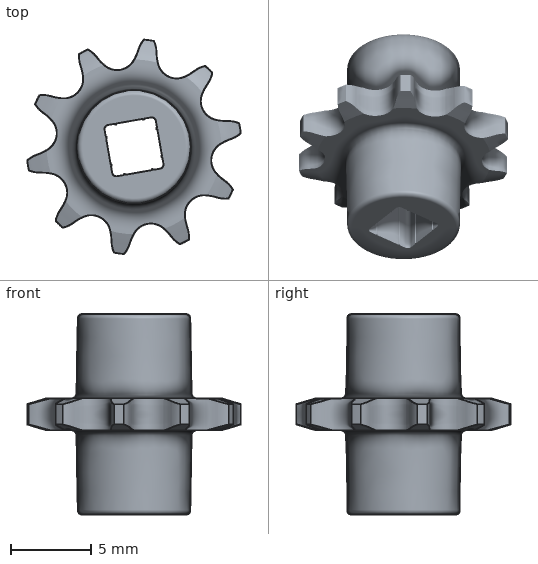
import cadquery as cq
import math

TOOTH_COUNT = 10
CHAIN_PITCH = 3.75
ROLLER_DIAMETER = 2.13
FLANK_CLEARANCE = 0.12
FIRST_TOOTH_ANGLE = 10.0

SEAT_RADIUS_RATIO = 0.5025
WORKING_CENTER_RATIO = 0.8
TOPPING_CENTER_RATIO = 1.4

SEAT_ANGLE = 35 + 60 / TOOTH_COUNT
WORKING_ANGLE = 18 - 56 / TOOTH_COUNT
TOPPING_ANGLE = 17 - 64 / TOOTH_COUNT

PLATE_THICKNESS = 2.0
TIP_RADIUS = 6.714
TIP_CHAMFER_START_RADIUS = 5.44
TIP_CHAMFER_DROP = 0.37

TOTAL_HEIGHT = 12.5
HUB_BASE_RADIUS = 3.6
HUB_DRAFT_ANGLE = 1.0
HUB_FILLET = 0.3

BORE_WALLS = 4
BORE_SIDE = 3.225
BORE_CORNER_RADIUS = 0.25

RIB_RADIUS = 0.055
RIB_OFFSET = 0.88

TOOTH_STEP = 360.0 / TOOTH_COUNT
PITCH_RADIUS = CHAIN_PITCH / (2 * math.sin(math.pi / TOOTH_COUNT))
HALF_PLATE = PLATE_THICKNESS / 2
HALF_HEIGHT = TOTAL_HEIGHT / 2
HUB_HEIGHT = HALF_HEIGHT - HALF_PLATE
HUB_END_RADIUS = HUB_BASE_RADIUS - HUB_HEIGHT * math.tan(math.radians(HUB_DRAFT_ANGLE))


def point_on_arc(center, radius, angle):
    """Point at the given angle (radians) on a circle."""
    return (center[0] + radius * math.cos(angle), center[1] + radius * math.sin(angle))


def gap_outline():
    """Closed outline of one tooth gap, symmetric about +X.

    Each flank runs from the roller seat through a working arc, a short
    straight and a topping arc, all tangent to each other.
    """
    half_step = math.pi / TOOTH_COUNT
    seat_angle = math.radians(SEAT_ANGLE)
    working_angle = math.radians(WORKING_ANGLE)
    topping_angle = math.radians(TOPPING_ANGLE)
    working_offset = WORKING_CENTER_RATIO * ROLLER_DIAMETER
    topping_offset = TOPPING_CENTER_RATIO * ROLLER_DIAMETER

    seat_radius = SEAT_RADIUS_RATIO * ROLLER_DIAMETER + FLANK_CLEARANCE
    working_radius = seat_radius + working_offset
    topping_radius = (
        working_offset * math.cos(working_angle)
        + topping_offset * math.cos(topping_angle)
        - working_radius
    )

    seat_center = (PITCH_RADIUS, 0)
    working_center = point_on_arc(seat_center, working_offset, seat_angle - math.pi / 2)
    topping_center = point_on_arc(seat_center, topping_offset, math.pi / 2 + half_step)

    seat_end_direction = math.pi / 2 + seat_angle
    straight_normal = seat_end_direction - working_angle
    topping_start = straight_normal - math.pi

    topping_end = half_step

    root = (PITCH_RADIUS - seat_radius, 0)
    seat_end = point_on_arc(seat_center, seat_radius, seat_end_direction)
    working_middle = point_on_arc(
        working_center, working_radius, seat_end_direction - working_angle / 2
    )
    straight_start = point_on_arc(working_center, working_radius, straight_normal)
    straight_end = point_on_arc(topping_center, topping_radius, topping_start)
    topping_middle = point_on_arc(
        topping_center, topping_radius, (topping_start + topping_end) / 2
    )
    tip = point_on_arc(topping_center, topping_radius, topping_end)

    def mirrored(point):
        return (point[0], -point[1])

    return (
        cq.Workplane("XY")
        .workplane(offset=-HALF_PLATE)
        .moveTo(*mirrored(seat_end))
        .threePointArc(root, seat_end)
        .threePointArc(working_middle, straight_start)
        .lineTo(*straight_end)
        .threePointArc(topping_middle, tip)
        .lineTo(*mirrored(tip))
        .threePointArc(mirrored(topping_middle), mirrored(straight_end))
        .lineTo(*mirrored(straight_start))
        .threePointArc(mirrored(working_middle), mirrored(seat_end))
        .close()
    )


def make_plate():
    """Disc with both faces chamfered toward the rim, cut by the tooth gaps."""
    half_rim = HALF_PLATE - TIP_CHAMFER_DROP
    plate = (
        cq.Workplane("XZ")
        .moveTo(0, -HALF_PLATE)
        .lineTo(TIP_CHAMFER_START_RADIUS, -HALF_PLATE)
        .lineTo(TIP_RADIUS, -half_rim)
        .lineTo(TIP_RADIUS, half_rim)
        .lineTo(TIP_CHAMFER_START_RADIUS, HALF_PLATE)
        .lineTo(0, HALF_PLATE)
        .close()
        .revolve(360, (0, 0, 0), (0, 1, 0))
    )
    gap = gap_outline().extrude(PLATE_THICKNESS)
    for index in range(TOOTH_COUNT):
        gap_angle = FIRST_TOOTH_ANGLE + (index + 0.5) * TOOTH_STEP
        plate = plate.cut(gap.rotate((0, 0, 0), (0, 0, 1), gap_angle))
    return plate


def make_upper_hub():
    """Drafted hub standing on the plate's upper side, with its foot inside the plate."""
    return (
        cq.Workplane("XZ")
        .moveTo(0, 0)
        .lineTo(0, HALF_HEIGHT)
        .lineTo(HUB_END_RADIUS, HALF_HEIGHT)
        .lineTo(HUB_BASE_RADIUS, HALF_PLATE)
        .lineTo(HUB_BASE_RADIUS, 0)
        .close()
        .revolve(360, (0, 0, 0), (0, 1, 0))
    )


def hub_edges(body):
    """The hub's end rims and the corners where it meets the plate."""
    reach = HUB_BASE_RADIUS + HUB_FILLET
    around_hub = cq.selectors.BoxSelector(
        (-reach, -reach, -TOTAL_HEIGHT), (reach, reach, TOTAL_HEIGHT), boundingbox=True
    )
    return body.edges("%CIRCLE").edges(around_hub)


def make_bore():
    """Square through-bore with rounded corners, less the ribs left standing on its walls."""
    base = cq.Workplane("XY").workplane(offset=-HALF_HEIGHT)
    bore = base.rect(BORE_SIDE, BORE_SIDE).extrude(TOTAL_HEIGHT).edges("|Z").fillet(BORE_CORNER_RADIUS)
    wall_ribs = (
        base.pushPoints([(BORE_SIDE / 2, -RIB_OFFSET), (BORE_SIDE / 2, RIB_OFFSET)])
        .circle(RIB_RADIUS)
        .extrude(TOTAL_HEIGHT)
    )
    for wall in range(BORE_WALLS):
        bore = bore.cut(wall_ribs.rotate((0, 0, 0), (0, 0, 1), wall * 360 / BORE_WALLS))
    return bore.rotate((0, 0, 0), (0, 0, 1), FIRST_TOOTH_ANGLE)


upper_hub = make_upper_hub()
lower_hub = upper_hub.mirror("XY")
body = make_plate().union(upper_hub).union(lower_hub)
body = hub_edges(body).fillet(HUB_FILLET)
result = body.cut(make_bore())